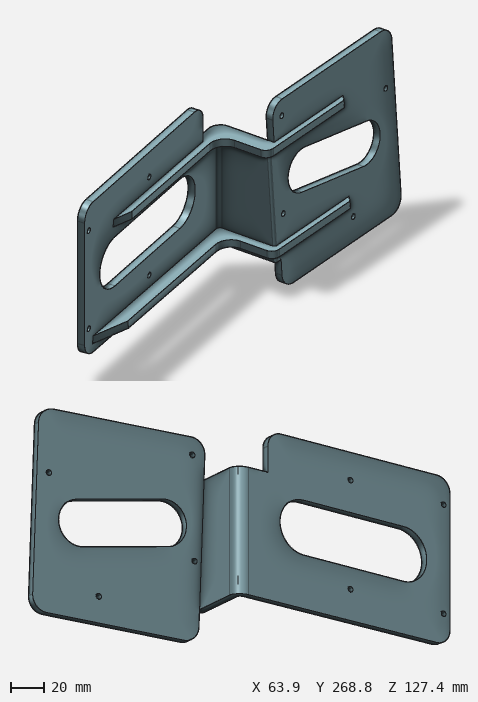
import cadquery as cq
import math

YAW = 7.0
TILT = 3.75
ORIGIN = (45.5, 154.0, 0.0)

SHEET = 5.0
CORNER_RADIUS = 10.0
HOLE_DIAMETER = 3.5
REACH = 402.8

UPRIGHT_TOP = 126.0
UPRIGHT_TOP_LENGTH = 136.2
UPRIGHT_SLOT_CENTER = (72.2, 70.0)
UPRIGHT_SLOT_LENGTH = 109.5
UPRIGHT_SLOT_WIDTH = 35.0
UPRIGHT_HOLE_PITCH = 69.5
UPRIGHT_HOLE_START = (4.8, 38.7)

WEB_BOTTOM = 21.0
WEB_TOP = 102.0
BEND_INNER_RADIUS = SHEET / 2
BEND_OUTER_RADIUS = BEND_INNER_RADIUS + SHEET
WEB_END_RADIUS = 1.5

TILTED_LENGTH = 114.7
TILTED_HEIGHT = 127.3
TILTED_SLOT_CENTER = (54.8, 65.3)
TILTED_SLOT_LENGTH = 88.5
TILTED_SLOT_WIDTH = 29.3
TILTED_SLOT_ANGLE = -10.5
TILTED_HOLES = [(8.5, 116.3), (106.3, 87.3), (69.3, 16.7), (4.5, 50.5)]

RIB_INNER_X = -27.7
RIB_FRONT_Y = -11.3
RIB_OUTER_X = 9.0
RIB_FILLET = 10.0
RIB_CORNER_RADIUS = 5.5
RIB_TAPER = 2.6
RIB_TILTED_LENGTH = 62.3
LOWER_RIB_BOTTOM = 27.0
LOWER_RIB_LENGTH = 112.0
UPPER_RIB_LENGTH = 100.7

SIN_YAW = math.sin(math.radians(YAW))
COS_YAW = math.cos(math.radians(YAW))


def place(body):
    """Move a body from the flange frame to its place in the part."""
    body = body.rotate((0, 0, 0), (0, 1, 0), -TILT)
    body = body.rotate((0, 0, 0), (0, 0, 1), -YAW)
    return body.translate(ORIGIN)


def block(x_range, y_range, z_range):
    """Box between the given limits."""
    lows, highs = zip(x_range, y_range, z_range)
    sizes = [high - low for low, high in zip(lows, highs)]
    return cq.Workplane("XY").box(*sizes, centered=False).translate(lows)


def slot_and_holes(slot_center, length, width, angle, holes):
    """Cutter through the YZ plane for one slot and its screw holes."""
    slot = cq.Workplane("YZ").center(*slot_center).slot2D(length, width, angle)
    slot = slot.extrude(SHEET, both=True)
    drills = cq.Workplane("YZ").pushPoints(holes).circle(HOLE_DIAMETER / 2)
    return slot.union(drills.extrude(SHEET, both=True))


def bent_sheet():
    """Upright plate and web as one vertical sheet with a rounded bend."""
    corner_y = ORIGIN[1] + ORIGIN[0] * SIN_YAW / COS_YAW
    along_web = (COS_YAW, -SIN_YAW)
    web_length = 1.5 * ORIGIN[0]
    inner_corner_y = corner_y - SHEET * (1 + SIN_YAW) / COS_YAW
    end = (web_length * along_web[0], corner_y + web_length * along_web[1])
    inner_end = (end[0] - SHEET * SIN_YAW, end[1] - SHEET * COS_YAW)
    outline = [(0, 0), (0, corner_y), end, inner_end, (SHEET, inner_corner_y), (SHEET, 0)]
    sheet = cq.Workplane("XY").polyline(outline).close().extrude(UPRIGHT_TOP)
    outer_bend = cq.selectors.NearestToPointSelector((0, corner_y, UPRIGHT_TOP / 2))
    sheet = sheet.edges(outer_bend).fillet(BEND_OUTER_RADIUS)
    inner_bend = cq.selectors.NearestToPointSelector((SHEET, inner_corner_y, UPRIGHT_TOP / 2))
    sheet = sheet.edges(inner_bend).fillet(BEND_INNER_RADIUS)

    web_space = block((-REACH, 0), (-REACH, REACH), (WEB_BOTTOM, WEB_TOP))
    raised_space = block((-REACH, 0), (-REACH, REACH), (WEB_BOTTOM, REACH))
    raised = block((0, SHEET), (0, UPRIGHT_TOP_LENGTH), (0, UPRIGHT_TOP))
    raised = raised.edges("|X and >Z").fillet(CORNER_RADIUS)
    plate = sheet.intersect(place(web_space)).union(raised.intersect(place(raised_space)))
    front_bottom = cq.selectors.NearestToPointSelector((SHEET / 2, 0, WEB_BOTTOM))
    plate = plate.edges(front_bottom).fillet(CORNER_RADIUS)

    first_y, first_z = UPRIGHT_HOLE_START
    holes = [
        (first_y + column * UPRIGHT_HOLE_PITCH, first_z + row * UPRIGHT_HOLE_PITCH)
        for column in range(2)
        for row in range(2)
    ]
    return plate.cut(slot_and_holes(
        UPRIGHT_SLOT_CENTER, UPRIGHT_SLOT_LENGTH, UPRIGHT_SLOT_WIDTH, 0, holes))


def tilted_plate():
    """Rounded plate with a slanted slot, in the flange frame."""
    plate = block((0, SHEET), (0, TILTED_LENGTH), (0, TILTED_HEIGHT))
    plate = plate.edges("|X").fillet(CORNER_RADIUS)
    web_end = block((0, SHEET), (-SHEET, CORNER_RADIUS), (WEB_BOTTOM, WEB_TOP))
    web_end = web_end.edges("|Z and >X and <Y").fillet(WEB_END_RADIUS)
    plate = plate.union(web_end)
    return plate.cut(slot_and_holes(
        TILTED_SLOT_CENTER, TILTED_SLOT_LENGTH, TILTED_SLOT_WIDTH,
        TILTED_SLOT_ANGLE, TILTED_HOLES))


def rib(bottom, upright_length):
    """Z-shaped rib along the upright plate, the web and the tilted plate."""
    def beside_upright(distance, depth):
        """Point a distance along the upright plate and a depth towards it."""
        return (RIB_INNER_X + distance * SIN_YAW - depth * COS_YAW,
                RIB_FRONT_Y - distance * COS_YAW - depth * SIN_YAW)

    embed = SHEET / 2
    buried_depth = -2 * RIB_INNER_X
    tilted_depth = RIB_OUTER_X - embed
    outline = [
        (RIB_INNER_X, RIB_FRONT_Y),
        beside_upright(upright_length, 0),
        beside_upright(upright_length + buried_depth * RIB_TAPER, buried_depth),
        (RIB_INNER_X - buried_depth, -embed),
        (embed, -embed),
        (embed, RIB_TILTED_LENGTH + tilted_depth),
        (RIB_OUTER_X, RIB_TILTED_LENGTH),
        (RIB_OUTER_X, RIB_FRONT_Y),
    ]
    body = cq.Workplane("XY").polyline(outline).close().extrude(SHEET)
    inner = cq.selectors.NearestToPointSelector((RIB_INNER_X, RIB_FRONT_Y, SHEET / 2))
    body = body.edges(inner).fillet(RIB_FILLET)
    outer = cq.selectors.NearestToPointSelector((RIB_OUTER_X, RIB_FRONT_Y, SHEET / 2))
    body = body.edges(outer).fillet(RIB_CORNER_RADIUS)
    body = place(body.translate((0, 0, bottom)))
    return body.intersect(block((embed, REACH), (0, REACH), (0, REACH)))


result = bent_sheet().union(place(tilted_plate()))
result = result.union(rib(LOWER_RIB_BOTTOM, LOWER_RIB_LENGTH))
result = result.union(rib(WEB_TOP - SHEET, UPPER_RIB_LENGTH))